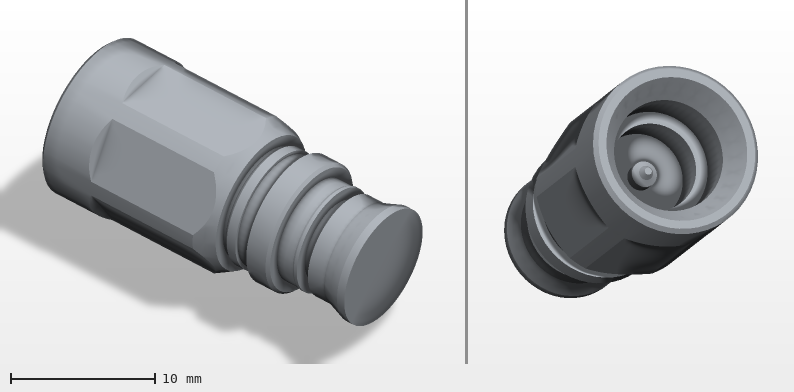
import cadquery as cq
import math

OVERALL_LENGTH = 25.4

NUT_DIAMETER = 12.01
NUT_RADIUS = NUT_DIAMETER / 2
NUT_LENGTH = 14.73
NUT_FRONT_CHAMFER = 0.3
REAR_CONE_LENGTH = 1.4
REAR_CONE_ANGLE = 30.0
BORE_RADIUS = 3.95
MOUTH_RADIUS = 5.13
MOUTH_DEPTH = 1.93
FLAT_COUNT = 6
ACROSS_FLATS = 11.0
FLAT_DISTANCE = ACROSS_FLATS / 2
FLAT_START = 4.47
FLAT_RUNOUT = NUT_RADIUS - FLAT_DISTANCE

TUBE_FRONT = 5.4
SOCKET_RADIUS = 3.12
SOCKET_DEPTH = 3.05
SOCKET_FLOOR = TUBE_FRONT + SOCKET_DEPTH

NECK_RADIUS = 4.35
NECK_LENGTH = 0.23
RING_RADIUS = 4.62
RING_START = 15.27
RING_END = 16.0
FLANGE_RADIUS = 5.0
FLANGE_START = 17.25
FLANGE_END = 19.15
FLANGE_CHAMFER = 0.23
SLEEVE_RADIUS = 4.0
LIP_RADIUS = 4.06
LIP_START = 20.52
LIP_CREST = 20.68
LIP_END = 20.93
GROOVE_RADIUS = 3.12
GROOVE_END = 21.82
TAIL_RADIUS = 3.95
FLARE_RADIUS = 4.5
FLARE_START = 23.25
FLARE_END = 24.76

PIN_RADIUS = 0.91
PIN_SHANK_LENGTH = 1.02
PIN_NOSE_RADIUS = 0.5
PIN_SHOULDER_LENGTH = PIN_RADIUS - PIN_NOSE_RADIUS
PIN_TIP_RADIUS = 0.25
PIN_NOSE_LENGTH = 0.5


def revolve_about_x(profile):
    """Turn a closed outline of (x, radius) points about the X axis."""
    return cq.Workplane("XY").polyline(profile).close().revolve(360, (0, 0, 0), (1, 0, 0))


def make_nut_blank():
    """Round nut with its through bore, before the wrench flats are cut."""
    rear_radius = NUT_RADIUS - REAR_CONE_LENGTH * math.tan(math.radians(REAR_CONE_ANGLE))
    return revolve_about_x([
        (0, MOUTH_RADIUS),
        (0, NUT_RADIUS - NUT_FRONT_CHAMFER),
        (NUT_FRONT_CHAMFER, NUT_RADIUS),
        (NUT_LENGTH - REAR_CONE_LENGTH, NUT_RADIUS),
        (NUT_LENGTH, rear_radius),
        (NUT_LENGTH, BORE_RADIUS),
        (MOUTH_DEPTH, BORE_RADIUS),
    ])


def make_flat_cutter():
    """Material to remove above the top flat, with its sloped run-out at the front."""
    return (
        cq.Workplane("XZ")
        .polyline([
            (FLAT_START, FLAT_DISTANCE),
            (NUT_LENGTH, FLAT_DISTANCE),
            (NUT_LENGTH, NUT_RADIUS),
            (FLAT_START - FLAT_RUNOUT, NUT_RADIUS),
        ])
        .close()
        .extrude(NUT_RADIUS, both=True)
    )


def make_nut():
    """Coupling nut with evenly spaced wrench flats."""
    nut = make_nut_blank()
    cutter = make_flat_cutter()
    for index in range(FLAT_COUNT):
        angle = index * 360 / FLAT_COUNT
        nut = nut.cut(cutter.rotate((0, 0, 0), (1, 0, 0), angle))
    return nut


def pin_outline():
    """Pin from its tip on the axis back to the socket floor."""
    shoulder_rear = SOCKET_FLOOR - PIN_SHANK_LENGTH
    shoulder_front = shoulder_rear - PIN_SHOULDER_LENGTH
    tip = shoulder_front - PIN_NOSE_LENGTH
    return [
        (tip, 0),
        (tip, PIN_TIP_RADIUS),
        (shoulder_front, PIN_NOSE_RADIUS),
        (shoulder_rear, PIN_RADIUS),
        (SOCKET_FLOOR, PIN_RADIUS),
    ]


def tube_outline():
    """Socket wall and the tube that fills the nut bore."""
    return [
        (SOCKET_FLOOR, SOCKET_RADIUS),
        (TUBE_FRONT, SOCKET_RADIUS),
        (TUBE_FRONT, BORE_RADIUS),
        (NUT_LENGTH, BORE_RADIUS),
    ]


def collar_outline():
    """Neck, ring and flange directly behind the nut."""
    return [
        (NUT_LENGTH, NECK_RADIUS),
        (NUT_LENGTH + NECK_LENGTH, NECK_RADIUS),
        (RING_START, RING_RADIUS),
        (RING_END, RING_RADIUS),
        (RING_END, NECK_RADIUS),
        (FLANGE_START, NECK_RADIUS),
        (FLANGE_START, FLANGE_RADIUS),
        (FLANGE_END - FLANGE_CHAMFER, FLANGE_RADIUS),
        (FLANGE_END, FLANGE_RADIUS - FLANGE_CHAMFER),
    ]


def tail_outline():
    """Sleeve with its lip, the groove and the flared rear end."""
    return [
        (FLANGE_END, SLEEVE_RADIUS),
        (LIP_START, SLEEVE_RADIUS),
        (LIP_CREST, LIP_RADIUS),
        (LIP_END, LIP_RADIUS),
        (LIP_END, GROOVE_RADIUS),
        (GROOVE_END, GROOVE_RADIUS),
        (GROOVE_END, TAIL_RADIUS),
        (FLARE_START, TAIL_RADIUS),
        (FLARE_END, FLARE_RADIUS),
        (OVERALL_LENGTH, FLARE_RADIUS),
        (OVERALL_LENGTH, 0),
    ]


def make_body():
    """Connector body and its pin, turned as one solid."""
    return revolve_about_x(pin_outline() + tube_outline() + collar_outline() + tail_outline())


nut = make_nut()
body = make_body()
result = cq.Compound.makeCompound([nut.val(), body.val()])